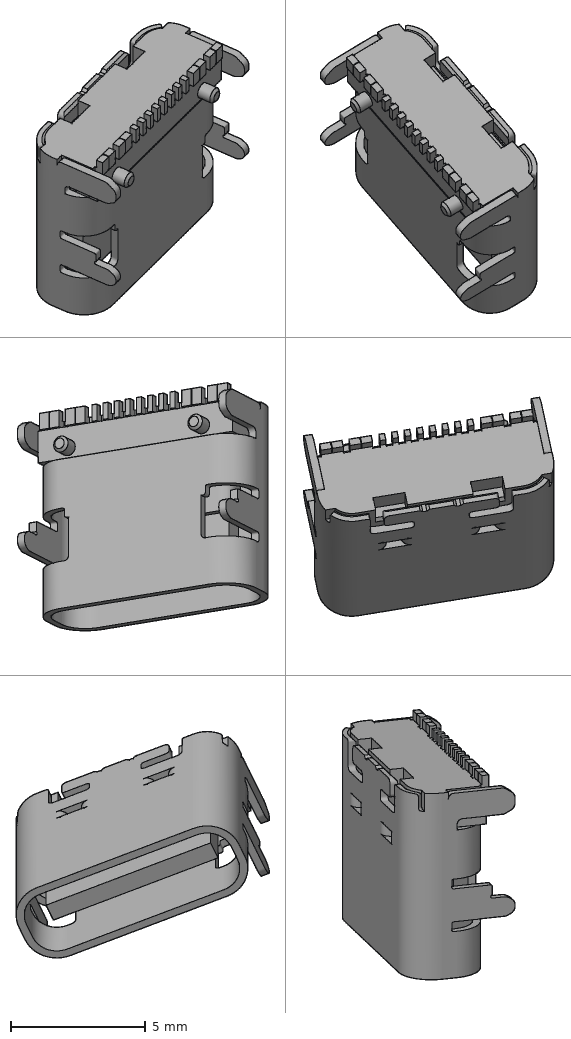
import cadquery as cq
import math

shell_width = 8.94
shell_depth = 3.16
shell_height = 7.28
wall = 0.3
corner_radius = 1.29
total_height = 7.7
total_depth = 4.16
clearance = 0.09

half_width = shell_width / 2
half_depth = shell_depth / 2
inner_half_depth = half_depth - wall
corner_x = half_depth - corner_radius
corner_y = half_width - corner_radius
rim_chamfer = 0.11

leg_tip = total_depth - half_depth
leg_tip_fillet = 0.31
rear_edge = 5.82
upper_leg_bottom = 6.24
upper_leg_rim_fillet = 0.21
upper_leg_start = -0.05
upper_taper_start = 2.15
upper_tip_bottom, upper_tip_top = 6.455, 6.99
lower_leg_bottom = 2.22
lower_leg_top = 3.51
lower_leg_step = 2.99
shoulder_x = 1.68
shoulder_fillet = 0.07
relief_radius = 0.06
lower_taper_start = 2.23
lower_tip_bottom, lower_tip_top = 2.39, 2.81
slot_start = 0.08
slot_height = 0.38
slot_fillet = 0.08
window_edge_y = 2.84
window_step_y = 3.02
window_bottom_fillet = 0.18
window_top_fillet = 0.09
gap_top_fillet = 0.215
gap_bottom_fillet = 0.09

notch_bottom = 6.625
notch_start = -1.13
el_outer, el_inner, el_end = 2.72, 2.18, 1.05
el_bottom, el_top = 6.09, 6.55
el_end_fillet = 0.14
el_corner_fillet = 0.2
tab_top_fillet = 0.215
tab_bottom_fillet = 0.13
rim_fillet = 0.11
rim_notch_y = 0.64
rim_notch_depth = 0.11
rim_notch_base = 0.15
lance_y = 1.77
lance_half_width = 0.63
lance_bottom, lance_top = 4.79, 5.28
lance_flat = 0.1
lance_inflection = 0.295
lance_angle = math.radians(70)

insulator_top = 7.34
insulator_back = 1.55
insulator_corner_start = -0.93
pocket_y, pocket_width = 1.85, 1.21
pocket_back = -0.74
pocket_lip = 0.11
pocket_lip_drop = 0.13
tongue_width, tongue_thickness = 6.7, 0.7
tongue_tip = 0.805
tongue_base_width, tongue_base_thickness = 6.97, 1.23
tongue_base_radius = 0.46
tongue_base_bottom = 3.13
pin_front, pin_thickness = 1.41, 0.28
pin_bottom = 7.05
pin_width, pin_count = 0.215, 8
pin_row = 3.34
wide_pin_width, pair_gap = 0.41, 0.03
pair_centres = (2.49, 3.6)
single_centres = [pin_row * (i / (pin_count - 1) - 0.5) for i in range(pin_count)]
ledge_front = 1.34
peg_y, peg_z, peg_diameter = 2.88, 6.22, 0.62
peg_tip, peg_chamfer = 2.2, 0.11


def block(x0, x1, y0, y1, z0, z1):
    """Axis-aligned box between the given limits."""
    return cq.Workplane("XY").box(x1 - x0, y1 - y0, z1 - z0, centered=False).translate((x0, y0, z0))


def rounded_prism(depth, width, radius, z0, z1):
    """Upright prism, centred on the Z axis, with rounded vertical edges."""
    prism = cq.Workplane("XY").workplane(offset=z0).rect(depth, width).extrude(z1 - z0)
    return prism.edges("|Z").fillet(radius)


def both_sides(shape):
    """The shape together with its mirror image across Y = 0."""
    return shape.union(shape.mirror("XZ"))


def front_cutter(points):
    """Prism through the front wall from (Y, Z) outline points."""
    outline = cq.Workplane("YZ").workplane(offset=-half_depth - clearance).polyline(points).close()
    return outline.extrude(wall + clearance)


def side_plate(points):
    """Plate of wall thickness on the +Y side from (X, Z) outline points."""
    plate = cq.Workplane("XZ").polyline(points).close().extrude(wall)
    return plate.translate((0, half_width, 0))


def fillet_tip(plate):
    """Round the tapered outer end of a leg."""
    tip = cq.selectors.BoxSelector(
        (shoulder_x + clearance, 0, 0),
        (leg_tip + clearance, half_width + clearance, total_height),
    )
    return plate.edges("|Y").edges(tip).fillet(leg_tip_fillet)


def upper_leg():
    """Flat upper leg together with its root in the shell side."""
    plate = side_plate([
        (upper_leg_start, upper_leg_bottom),
        (upper_taper_start, upper_leg_bottom),
        (leg_tip, upper_tip_bottom),
        (leg_tip, upper_tip_top),
        (upper_taper_start, shell_height),
        (upper_leg_start, shell_height),
    ])
    plate = fillet_tip(plate)
    plate = plate.edges("|Y and <X").edges(">Z").fillet(upper_leg_rim_fillet)

    root = block(upper_leg_start, corner_x + gap_top_fillet, half_width - wall, half_width,
                 rear_edge, upper_leg_bottom)
    gap = block(corner_x, half_depth, 0, half_width, rear_edge, upper_leg_bottom)
    gap = gap.edges("|Y and <X and >Z").fillet(gap_top_fillet)
    gap = gap.edges("|Y and <X and <Z").fillet(gap_bottom_fillet)
    return plate.union(root.cut(gap))


def lower_leg():
    """Flat lower leg with a shoulder partway along its top edge."""
    plate = side_plate([
        (slot_start, lower_leg_bottom),
        (lower_taper_start, lower_leg_bottom),
        (leg_tip, lower_tip_bottom),
        (leg_tip, lower_tip_top),
        (lower_taper_start, lower_leg_step),
        (shoulder_x, lower_leg_step),
        (shoulder_x, lower_leg_top),
        (slot_start, lower_leg_top),
    ])
    plate = fillet_tip(plate)
    plate = plate.edges("|Y and >Z").edges(">X").fillet(shoulder_fillet)
    relief = cq.Workplane("XZ").center(shoulder_x, lower_leg_step + relief_radius).circle(relief_radius)
    return plate.cut(relief.extrude(-half_width))


def corner_window():
    """Opening around a rear corner, with a slot above and below the lower leg."""
    z0 = lower_leg_bottom - slot_height
    z1 = lower_leg_top + slot_height
    opening = cq.Workplane("YZ").workplane(offset=corner_x).polyline([
        (half_width, z0),
        (window_edge_y, z0),
        (window_edge_y, lower_leg_top),
        (window_step_y, lower_leg_top),
        (window_step_y, z1),
        (half_width, z1),
    ]).close().extrude(corner_radius)
    upper_corners = cq.selectors.BoxSelector(
        (0, window_step_y - clearance, lower_leg_top - clearance),
        (half_depth + clearance, window_step_y + clearance, z1 + clearance),
    )
    opening = opening.edges("|X").edges(upper_corners).fillet(window_top_fillet)
    opening = opening.edges("|X and <Y and <Z").fillet(window_bottom_fillet)
    for bottom in (z0, lower_leg_top):
        slot = block(slot_start, corner_x + clearance, corner_y, half_width, bottom, bottom + slot_height)
        opening = opening.union(slot.edges("|Y and <X").fillet(slot_fillet))
    return opening


def corner_notch():
    """Rim notch from the front corner arc, cut square to it, back to the upper leg."""
    reach = 1.4
    run = notch_start + corner_x
    rise = math.sqrt(corner_radius**2 - run**2)
    outline = cq.Workplane("XY").workplane(offset=notch_bottom).polyline([
        (-corner_x, corner_y),
        (-corner_x + reach * run, corner_y + reach * rise),
        (upper_leg_start, corner_y + reach * corner_radius),
        (upper_leg_start, corner_y),
    ]).close()
    notch = outline.extrude(total_height - notch_bottom)
    return notch.faces("<X").edges("<Z").fillet(rim_fillet)


def el_slot():
    """L-shaped slot freeing one end of the tab in the middle of the front rim."""
    front = -half_depth - clearance
    riser = block(front, -inner_half_depth, el_inner, el_outer, el_bottom, total_height)
    foot = block(front, -inner_half_depth, el_end, el_outer, el_bottom, el_top)
    foot = foot.edges("|X and <Y").fillet(el_end_fillet)
    slot = riser.union(foot)
    return slot.edges("|X and >Y and <Z").fillet(el_corner_fillet)


def corner_rounder(y, z, side_y, side_z, radius):
    """Cutter that rounds a front wall corner at (Y, Z); the wall lies toward side_y, side_z."""
    centre_y = y + side_y * radius
    centre_z = z + side_z * radius
    mid = radius * math.sqrt(0.5)
    outline = (
        cq.Workplane("YZ").workplane(offset=-half_depth - clearance)
        .moveTo(y, z)
        .lineTo(centre_y, z)
        .threePointArc((centre_y - side_y * mid, centre_z - side_z * mid), (y, centre_z))
        .close()
    )
    return outline.extrude(wall + 2 * clearance)


def slot_rounders():
    """Rounded corners of the tab and of the rim beside one L slot."""
    rounders = corner_rounder(el_inner, shell_height, -1, -1, tab_top_fillet)
    rounders = rounders.union(corner_rounder(el_inner, el_top, -1, 1, tab_bottom_fillet))
    return rounders.union(corner_rounder(el_outer, shell_height, 1, -1, rim_fillet))


def notch_rounder():
    """Rounded rim corner where the front wall ends at one corner notch."""
    turn = math.degrees(math.acos(-(notch_start + corner_x) / corner_radius))
    rounder = corner_rounder(corner_y, shell_height, -1, -1, rim_fillet)
    return rounder.rotate((-corner_x, corner_y, 0), (-corner_x, corner_y, 1), -turn)


def rim_notch(y):
    """Small 45-degree notch in the top edge of the tab."""
    base = rim_notch_base / 2
    top = base + rim_notch_depth
    z0 = shell_height - rim_notch_depth
    return front_cutter([(y - top, shell_height), (y - base, z0), (y + base, z0), (y + top, shell_height)])


def lance_strip():
    """Strip of the front wall pressed inward into a smooth wave, for one lance window."""
    crest_radius = (lance_inflection - lance_flat) / math.sin(lance_angle)
    root_radius = (lance_half_width - lance_inflection) / math.sin(lance_angle)
    full_rise = 1 - math.cos(lance_angle)
    half_run = math.sin(lance_angle / 2)
    half_rise = 1 - math.cos(lance_angle / 2)
    bend = root_radius * full_rise
    crest = bend + crest_radius * full_rise
    root_middle = (root_radius * half_rise, lance_half_width - root_radius * half_run)
    crest_middle = (crest - crest_radius * half_rise, lance_flat + crest_radius * half_run)

    def add_wave(path, x, side):
        """Continue the path from one end of the wave to the other."""
        def place(depth, y):
            return (x + depth, side * y)

        path = path.threePointArc(place(*root_middle), place(bend, lance_inflection))
        path = path.threePointArc(place(*crest_middle), place(crest, lance_flat))
        path = path.lineTo(*place(crest, -lance_flat))
        path = path.threePointArc(place(crest_middle[0], -crest_middle[1]), place(bend, -lance_inflection))
        return path.threePointArc(place(root_middle[0], -root_middle[1]), place(0, -lance_half_width))

    path = cq.Workplane("XY").workplane(offset=lance_bottom).moveTo(-half_depth, lance_half_width)
    path = add_wave(path, -half_depth, 1)
    path = path.lineTo(-inner_half_depth, -lance_half_width)
    path = add_wave(path, -inner_half_depth, -1)
    return path.close().extrude(lance_top - lance_bottom)


def lance_window():
    """Opening in the front wall where a lance is pressed inward."""
    return block(-half_depth, -inner_half_depth, -lance_half_width, lance_half_width, lance_bottom, lance_top)


def cavity_prism(z0, z1):
    """Prism filling the inside of the shell tube."""
    return rounded_prism(2 * inner_half_depth, 2 * (half_width - wall), corner_radius - wall, z0, z1)


def make_shell():
    """Tube with its rim chamfer, legs, windows, slots and lances."""
    shell = rounded_prism(shell_depth, shell_width, corner_radius, 0, shell_height)
    shell = shell.cut(cavity_prism(0, shell_height))
    margin = 0.01
    rim = cq.selectors.BoxSelector(
        (-inner_half_depth - margin, -half_width + wall - margin, shell_height - margin),
        (inner_half_depth + margin, half_width - wall + margin, shell_height + margin),
        boundingbox=True,
    )
    shell = shell.edges(rim).chamfer(rim_chamfer)

    shell = shell.cut(block(corner_x, half_depth, -half_width, half_width, rear_edge, shell_height))
    shell = shell.cut(block(upper_leg_start, half_depth, -half_width, half_width,
                            upper_leg_bottom, shell_height))
    shell = shell.cut(both_sides(corner_window()))
    shell = shell.cut(both_sides(corner_notch()))
    shell = shell.union(both_sides(upper_leg()))
    shell = shell.union(both_sides(lower_leg()))

    shell = shell.cut(both_sides(el_slot()))
    shell = shell.cut(both_sides(slot_rounders()))
    shell = shell.cut(both_sides(notch_rounder()))
    for side in (-1, 1):
        shell = shell.cut(rim_notch(side * rim_notch_y))
        shell = shell.cut(lance_window().translate((0, side * lance_y, 0)))
        shell = shell.union(lance_strip().translate((0, side * lance_y, 0)))
    return shell


def pin_block(centre, width):
    """Upright bar of pin height and thickness, centred at the given Y."""
    return block(pin_front, pin_front + pin_thickness, centre - width / 2, centre + width / 2,
                 pin_bottom, total_height)


def make_pins():
    """Soldering tails along the top: single pins between wide pairs."""
    pins = cq.Workplane("XY")
    for y in single_centres:
        pins = pins.union(pin_block(y, pin_width))
    pair_offset = (wide_pin_width + pair_gap) / 2
    for centre in pair_centres:
        for y in (centre - pair_offset, centre + pair_offset):
            pins = pins.union(both_sides(pin_block(y, wide_pin_width)))
    return pins


def make_pin_seats():
    """Full-height insulator behind each single pin and behind each pair."""
    seats = cq.Workplane("XY")
    for y in single_centres:
        seats = seats.union(pin_block(y, pin_width))
    for y in pair_centres:
        seats = seats.union(both_sides(pin_block(y, 2 * wide_pin_width + pair_gap)))
    return seats.translate((ledge_front - pin_front, 0, 0))


def make_pocket():
    """Pocket in the insulator behind an L slot, its floor sloping down to the front."""
    front = -inner_half_depth
    outline = cq.Workplane("XZ").polyline([
        (front, el_top - pocket_lip_drop),
        (front + pocket_lip, el_top),
        (pocket_back, el_top),
        (pocket_back, total_height),
        (front, total_height),
    ]).close()
    return outline.extrude(pocket_width / 2, both=True)


def make_insulator():
    """Plug closing the top of the shell, with its pockets, pegs and tongue."""
    inner_half_width = half_width - wall
    body = cavity_prism(rear_edge, insulator_top)
    body = body.intersect(block(-half_depth, insulator_back, -half_width, half_width,
                                rear_edge, insulator_top))
    body = body.union(block(corner_x, insulator_back, -inner_half_width, inner_half_width,
                            rear_edge, insulator_top))

    corners = rounded_prism(shell_depth, shell_width, corner_radius, notch_bottom, insulator_top)
    corners = corners.intersect(block(insulator_corner_start, upper_leg_start, -half_width, half_width,
                                      notch_bottom, insulator_top))
    body = body.union(corners)

    for y in (-pocket_y, pocket_y):
        body = body.cut(make_pocket().translate((0, y, 0)))

    ledge = block(ledge_front, insulator_back, -inner_half_width, inner_half_width, pin_bottom, insulator_top)
    body = body.cut(ledge.cut(make_pin_seats()))

    for y in (-peg_y, peg_y):
        peg = cq.Workplane("YZ").workplane(offset=ledge_front).center(y, peg_z).circle(peg_diameter / 2)
        peg = peg.extrude(peg_tip - ledge_front).faces(">X").chamfer(peg_chamfer)
        body = body.union(peg)

    tongue = block(-tongue_thickness / 2, tongue_thickness / 2, -tongue_width / 2, tongue_width / 2,
                   tongue_tip, rear_edge)
    tongue_base = rounded_prism(tongue_base_thickness, tongue_base_width, tongue_base_radius,
                                tongue_base_bottom, rear_edge)
    return body.union(tongue).union(tongue_base)


result = make_shell().union(make_insulator()).union(make_pins())